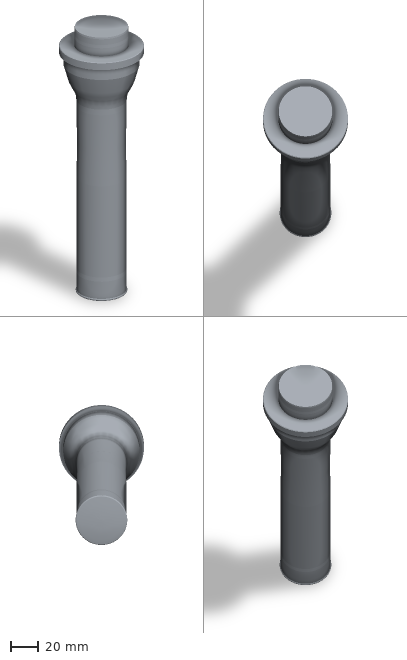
import cadquery as cq


total_height = 214.99

plug_radius = 39.99 / 2
plug_tip_radius = 39.7 / 2
plug_length = 15
plug_tip_length = 6
plug_taper_length = 2.5
plug_edge_height = 1.3
plug_edge_depth = 0.2

flange_radius = 62.5 / 2
flange_thickness = 6
flange_chamfer = 0.5

collar_radius = 56 / 2
collar_height = 9.5
collar_flare = 0.4
bell_height = 28.5
bell_mid_radius = 23.2
bell_mid_drop = 15.5

neck_radius = 37.05 / 2
neck_height = 4.5
waist_radius = 36.4 / 2
waist_end_height = 9.5
shaft_radius = 36.67 / 2
shaft_top = 93.8

tail_taper_bottom = 16.6
tail_taper_top = 19.9
tail_radius = neck_radius

bead_radius = 19.0
cap_height = 2.7
bead_middle = 1.7
dome_radius = 18
dome_height = 0.9
dome_flat_radius = 1

flange_top = total_height - plug_length
flange_bottom = flange_top - flange_thickness
plug_taper_top = total_height - plug_tip_length
plug_taper_bottom = plug_taper_top - plug_taper_length
collar_bottom = flange_bottom - collar_height
neck_top = collar_bottom - bell_height
neck_bottom = neck_top - neck_height


def turn(profile):
    """Revolve a closed half profile, drawn as (radius, z), about the Z axis."""
    return profile.close().revolve(360, (0, 0, 0), (0, 1, 0))


def make_handle():
    """Tail, shaft, waisted grip, bell, flange and plug in one piece."""
    up = (0, 1)
    bell_rim_direction = (0.25, 1)
    profile = (
        cq.Workplane("XZ")
        .moveTo(0, cap_height)
        .lineTo(tail_radius, cap_height)
        .lineTo(tail_radius, tail_taper_bottom)
        .lineTo(shaft_radius, tail_taper_top)
        .lineTo(shaft_radius, shaft_top)
        .spline(
            [
                (waist_radius, shaft_top + waist_end_height),
                (waist_radius, neck_bottom - waist_end_height),
                (neck_radius, neck_bottom),
            ],
            includeCurrent=True,
        )
        .lineTo(neck_radius, neck_top)
        .spline(
            [
                (bell_mid_radius, collar_bottom - bell_mid_drop),
                (collar_radius, collar_bottom),
            ],
            tangents=[up, bell_rim_direction],
            includeCurrent=True,
        )
        .lineTo(collar_radius, flange_bottom - collar_flare)
        .lineTo(collar_radius + collar_flare, flange_bottom)
        .lineTo(flange_radius, flange_bottom)
        .lineTo(flange_radius, flange_top - flange_chamfer)
        .lineTo(flange_radius - flange_chamfer, flange_top)
        .lineTo(plug_radius, flange_top)
        .lineTo(plug_radius, plug_taper_bottom)
        .lineTo(plug_tip_radius, plug_taper_top)
        .lineTo(plug_tip_radius, total_height - plug_edge_height)
        .lineTo(plug_tip_radius - plug_edge_depth, total_height)
        .lineTo(0, total_height)
    )
    return turn(profile)


def make_end_cap():
    """Domed cap with a rounded bead, closing the bottom of the tail."""
    profile = (
        cq.Workplane("XZ")
        .moveTo(0, cap_height)
        .lineTo(0, 0)
        .lineTo(dome_flat_radius, 0)
        .tangentArcPoint((dome_radius, dome_height), relative=False)
        .threePointArc((bead_radius, bead_middle), (tail_radius, cap_height))
    )
    return turn(profile)


handle = make_handle()
end_cap = make_end_cap()

result = cq.Compound.makeCompound([handle.val(), end_cap.val()])